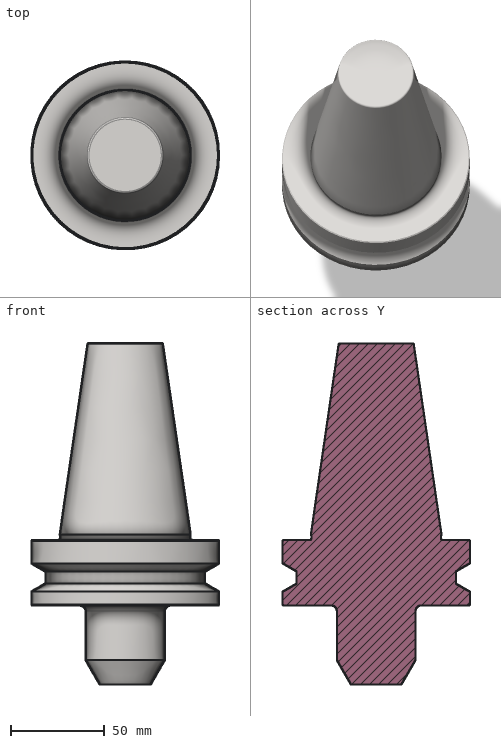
import cadquery as cq
import math

total_height = 181.8
flange_bottom = 42.0
flange_top = 77.0
gauge_height = 80.0

flange_radius = 50.0
flange_chamfer = 0.5
groove_floor_radius = 42.5
groove_floor_bottom = 53.8
groove_floor_top = 60.2
groove_wall_angle = math.radians(30)
groove_wall_height = (flange_radius - groove_floor_radius) * math.tan(groove_wall_angle)

nose_radius = 21.0
nose_fillet = 2.9
nose_cone_height = 13.0
nose_cone_angle = math.radians(30)
nose_tip_radius = nose_radius - nose_cone_height * math.tan(nose_cone_angle)

gauge_radius = 34.9
taper_ratio = 7 / 24
shank_end_radius = gauge_radius - (total_height - gauge_height) * taper_ratio / 2
shank_end_fillet = 0.9

neck_radius = 34.7
neck_bevel_height = 0.7
neck_fillet = 0.7

arc_inset = 1 - math.sqrt(0.5)
nose_arc_inset = nose_fillet * arc_inset
neck_arc_inset = neck_fillet * arc_inset

profile = (
    cq.Workplane("XZ")
    .moveTo(0, 0)
    .lineTo(nose_tip_radius, 0)
    .lineTo(nose_radius, nose_cone_height)
    .lineTo(nose_radius, flange_bottom - nose_fillet)
    .threePointArc(
        (nose_radius + nose_arc_inset, flange_bottom - nose_arc_inset),
        (nose_radius + nose_fillet, flange_bottom),
    )
    .lineTo(flange_radius - flange_chamfer, flange_bottom)
    .lineTo(flange_radius, flange_bottom + flange_chamfer)
    .lineTo(flange_radius, groove_floor_bottom - groove_wall_height)
    .lineTo(groove_floor_radius, groove_floor_bottom)
    .lineTo(groove_floor_radius, groove_floor_top)
    .lineTo(flange_radius, groove_floor_top + groove_wall_height)
    .lineTo(flange_radius, flange_top - flange_chamfer)
    .lineTo(flange_radius - flange_chamfer, flange_top)
    .lineTo(neck_radius + neck_fillet, flange_top)
    .threePointArc(
        (neck_radius + neck_arc_inset, flange_top + neck_arc_inset),
        (neck_radius, flange_top + neck_fillet),
    )
    .lineTo(neck_radius, gauge_height - neck_bevel_height)
    .lineTo(gauge_radius, gauge_height)
    .lineTo(shank_end_radius, total_height)
    .lineTo(0, total_height)
    .close()
)

holder = profile.revolve(360, (0, 0, 0), (0, 1, 0))
result = holder.faces(">Z").edges().fillet(shank_end_fillet)